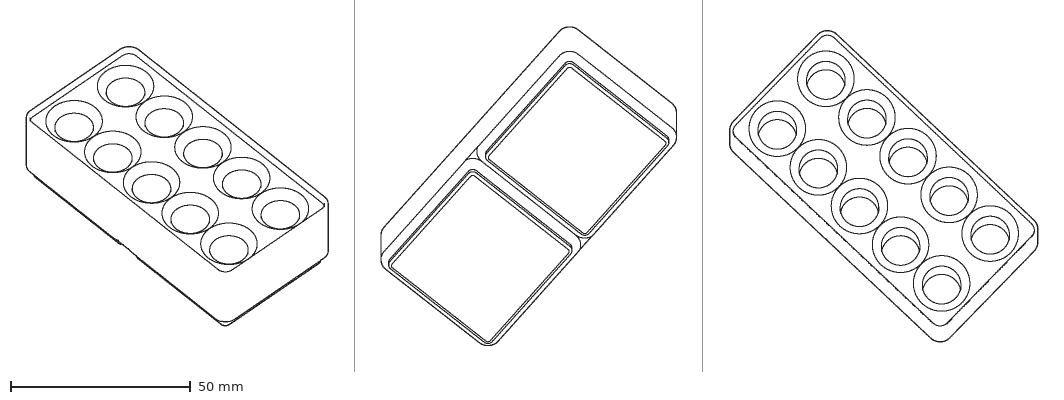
import cadquery as cq

cell_pitch = 42.0
cell_count = 2
clearance = 0.5
body_length = cell_count * cell_pitch - clearance
body_width = cell_pitch - clearance
total_height = 24.43
corner_radius = 3.75

lower_chamfer = 0.8
straight_band = 1.8
upper_chamfer = 2.4
feet_height = lower_chamfer + straight_band + upper_chamfer
upper_taper = 45
foot_radius = corner_radius + clearance / 2
band_width = cell_pitch - 2 * upper_chamfer
band_radius = foot_radius - upper_chamfer

rim_thickness = 1.0
rim_height = 2.0
rim_edge_radius = 0.3
deck_height = total_height - rim_height

hole_columns = 5
hole_rows = 2
column_pitch = 15.84
row_pitch = 19.55
hole_diameter = 10.75
countersink = 2.5
hole_floor = 7.0


def rounded_block(length, width, height, radius, base):
    """Upright block with rounded vertical edges, standing on the height `base`."""
    block = cq.Workplane("XY").workplane(offset=base).rect(length, width).extrude(height)
    return block.edges("|Z").fillet(radius)


def foot():
    """One foot: a straight band chamfered around its bottom, under a head that flares out to the cell."""
    band_top = lower_chamfer + straight_band
    band = rounded_block(band_width, band_width, band_top, band_radius, 0)
    band = band.faces("<Z").chamfer(lower_chamfer)
    head = (
        cq.Workplane("XY")
        .workplane(offset=feet_height)
        .placeSketch(cq.Sketch().rect(cell_pitch, cell_pitch).vertices().fillet(foot_radius))
        .extrude(-upper_chamfer, taper=upper_taper)
    )
    return band.union(head)


def rim_pocket():
    """Shallow recess that leaves the rim standing around the deck."""
    length = body_length - 2 * rim_thickness
    width = body_width - 2 * rim_thickness
    return rounded_block(length, width, rim_height, corner_radius - rim_thickness, deck_height)


def countersunk_hole():
    """Revolved cutter of one hole, centred on the Z axis."""
    radius = hole_diameter / 2
    profile = [
        (0, hole_floor),
        (radius, hole_floor),
        (radius, deck_height - countersink),
        (radius + countersink, deck_height),
        (0, deck_height),
    ]
    return cq.Workplane("XZ").polyline(profile).close().revolve(360, (0, 0), (0, 1))


def centred_positions(count, pitch):
    """Evenly spaced coordinates, symmetric about zero."""
    return [(i - (count - 1) / 2) * pitch for i in range(count)]


def trimmed_feet():
    """All feet in a row along X, cut back to the body outline."""
    feet = cq.Workplane("XY")
    for x in centred_positions(cell_count, cell_pitch):
        feet = feet.union(foot().translate((x, 0, 0)))
    outline = rounded_block(body_length, body_width, feet_height, corner_radius, 0)
    return feet.intersect(outline)


def rimmed_body():
    """Main block with the recessed deck and both top edges of the rim rounded."""
    block = rounded_block(body_length, body_width, total_height - feet_height, corner_radius, feet_height)
    return block.cut(rim_pocket()).faces(">Z").fillet(rim_edge_radius)


body = rimmed_body().union(trimmed_feet())

for x in centred_positions(hole_columns, column_pitch):
    for y in centred_positions(hole_rows, row_pitch):
        body = body.cut(countersunk_hole().translate((x, y, 0)))

result = body